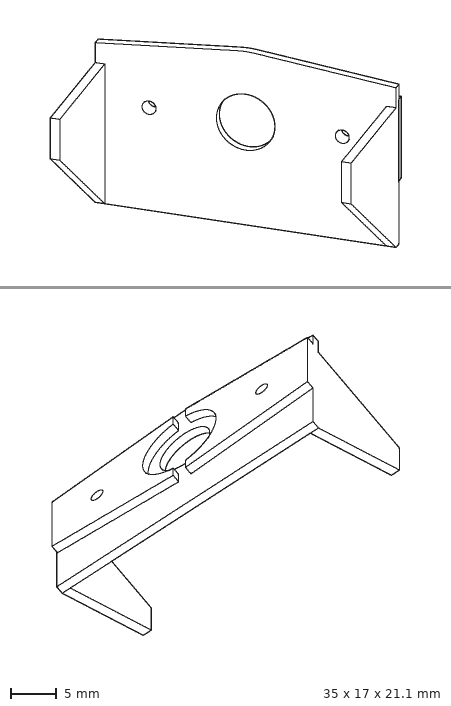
import cadquery as cq

width = 35.0
half_width = width / 2
plate_thickness = 1.0
shoulder_height = 19.42
gable_apex_height = 21.15
apex_radius = 10.0

arm_thickness = 1.12
arm_length = 14.98
arm_top = 17.0
arm_tip_bottom = 12.05

hole_height = 12.5
bore_diameter = 6.8
screw_diameter = 1.6
screw_offset = 11.25

pad_thickness = 1.0
pad_inner_x = 0.85
left_pad_outer_x = half_width
right_pad_outer_x = 17.4
pad_inner_half_height = 6.58
pad_outer_half_height = 4.97
pad_relief_diameter = 10.0


def make_plate():
    outline = [
        (-half_width, 0),
        (half_width, 0),
        (half_width, shoulder_height),
        (0, gable_apex_height),
        (-half_width, shoulder_height),
    ]
    plate = cq.Workplane("XZ").polyline(outline).close().extrude(-plate_thickness)
    apex_edge = cq.selectors.NearestToPointSelector((0, plate_thickness / 2, gable_apex_height))
    return plate.edges(apex_edge).fillet(apex_radius)


def make_arm(start_x):
    profile = [
        (0, 0),
        (plate_thickness, 0),
        (plate_thickness, arm_top),
        (-arm_length, arm_top),
        (-arm_length, arm_tip_bottom),
    ]
    return cq.Workplane("YZ", origin=(start_x, 0, 0)).polyline(profile).close().extrude(arm_thickness)


def make_pad(side, outer_x):
    profile = [
        (side * pad_inner_x, hole_height - pad_inner_half_height),
        (side * outer_x, hole_height - pad_outer_half_height),
        (side * outer_x, hole_height + pad_outer_half_height),
        (side * pad_inner_x, hole_height + pad_inner_half_height),
    ]
    rear_face = cq.Workplane("XZ", origin=(0, plate_thickness, 0))
    return rear_face.polyline(profile).close().extrude(-pad_thickness)


def make_hole(x, diameter, start_y=0):
    depth = plate_thickness + pad_thickness - start_y
    hole = cq.Workplane("XZ", origin=(x, start_y, hole_height))
    return hole.circle(diameter / 2).extrude(-depth)


result = make_plate()
for arm_start in (-half_width, half_width - arm_thickness):
    result = result.union(make_arm(arm_start))
for side, outer_x in ((-1, left_pad_outer_x), (1, right_pad_outer_x)):
    result = result.union(make_pad(side, outer_x))

result = result.cut(make_hole(0, bore_diameter))
result = result.cut(make_hole(0, pad_relief_diameter, start_y=plate_thickness))
for screw_x in (-screw_offset, screw_offset):
    result = result.cut(make_hole(screw_x, screw_diameter))